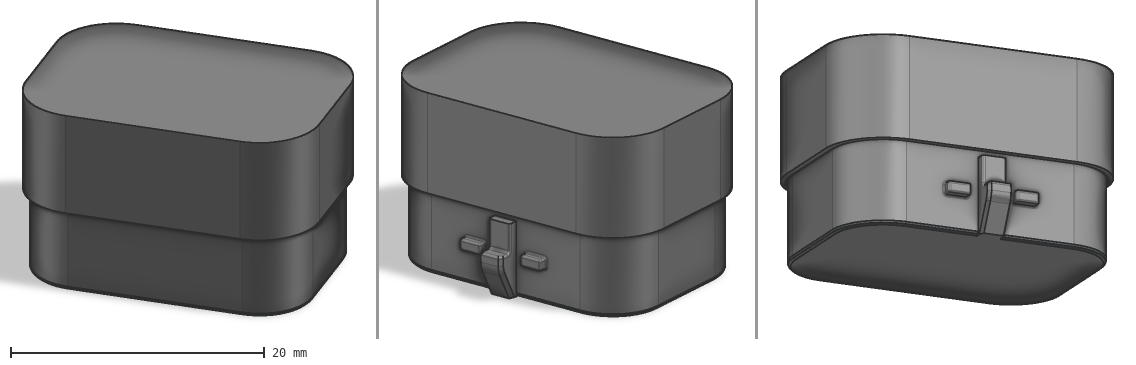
import cadquery as cq
import math

CAP_LENGTH = 24.4
CAP_WIDTH = 17.42
TOTAL_HEIGHT = 15.5
CAP_HEIGHT = 8.52
CAP_CORNER = 4.95

STEP = 0.54
BODY_LENGTH = CAP_LENGTH - 2 * STEP
BODY_WIDTH = CAP_WIDTH - 2 * STEP
BODY_HEIGHT = TOTAL_HEIGHT - CAP_HEIGHT
BODY_CORNER = CAP_CORNER - STEP

UPPER_FACET_HEIGHT = 0.17
UPPER_FACET_INSET = 0.07
LOWER_FACET_HEIGHT = 0.15
LOWER_FACET_INSET = 0.17
BEVEL_HEIGHT = UPPER_FACET_HEIGHT + LOWER_FACET_HEIGHT

CAP_FACE = CAP_WIDTH / 2
BODY_FACE = BODY_WIDTH / 2
EMBED = 0.5

LATCH_WIDTH = 2.07
LATCH_ROUND = 0.22
PLATE_TOP = 6.4
PLATE_FACE = CAP_FACE + 0.32
HOOK_TIP = CAP_FACE + 1.59
HOOK_TOP = 3.98
HOOK_TOP_DIP = 0.07
HOOK_CORNER_Z = 2.7
HOOK_FOOT = CAP_FACE + 0.15
HOOK_NOSE_RADIUS = 1.85
HOOK_SIDE_BEVEL = 0.2
HOOK_FRONT_BEVEL = 0.41
ROOT_ROUND = 0.25

BLOCK_WIDTH = 2.0
BLOCK_OFFSET = 2.95
BLOCK_BOTTOM = 3.0
BLOCK_HEIGHT = 0.98
BLOCK_FACE = CAP_FACE + 0.22
BLOCK_ROUND = 0.2
BLOCK_FOOT_ROUND = 0.17


def rounded_rectangle(length, width, corner):
    return cq.Sketch().rect(length, width).vertices().fillet(corner)


def nearest(x, y, z):
    return cq.selectors.NearestToPointSelector((x, y, z))


def make_cap():
    outline = rounded_rectangle(CAP_LENGTH, CAP_WIDTH, CAP_CORNER)
    return cq.Workplane("XY").workplane(offset=BODY_HEIGHT).placeSketch(outline).extrude(CAP_HEIGHT)


def make_facet(top_z, height, inset, start_inset):
    """Thin slab below top_z whose wall leans inwards by inset over its height."""
    outline = rounded_rectangle(
        BODY_LENGTH - 2 * start_inset, BODY_WIDTH - 2 * start_inset, BODY_CORNER - start_inset
    )
    taper = math.degrees(math.atan2(inset, height))
    return cq.Workplane("XY").workplane(offset=top_z).placeSketch(outline).extrude(-height, taper=taper)


def make_body():
    outline = rounded_rectangle(BODY_LENGTH, BODY_WIDTH, BODY_CORNER)
    wall = cq.Workplane("XY").workplane(offset=BEVEL_HEIGHT).placeSketch(outline)
    wall = wall.extrude(BODY_HEIGHT - BEVEL_HEIGHT)
    upper = make_facet(BEVEL_HEIGHT, UPPER_FACET_HEIGHT, UPPER_FACET_INSET, 0)
    lower = make_facet(LOWER_FACET_HEIGHT, LOWER_FACET_HEIGHT, LOWER_FACET_INSET, UPPER_FACET_INSET)
    return wall.union(upper).union(lower)


def add_block(body, center_x):
    depth = BLOCK_FACE - BODY_FACE + EMBED
    block = (
        cq.Workplane("XY")
        .box(BLOCK_WIDTH, depth, BLOCK_HEIGHT, centered=(True, False, False))
        .translate((center_x, BODY_FACE - EMBED, BLOCK_BOTTOM))
        .edges("|Y or >Y")
        .fillet(BLOCK_ROUND)
    )
    margin = 0.02
    reach = BLOCK_WIDTH / 2 + margin
    foot = cq.selectors.BoxSelector(
        (center_x - reach, BODY_FACE - margin, BLOCK_BOTTOM - margin),
        (center_x + reach, BODY_FACE + margin, BLOCK_BOTTOM + BLOCK_HEIGHT + margin),
    )
    return body.union(block).edges(foot).fillet(BLOCK_FOOT_ROUND)


def make_latch():
    inner = BODY_FACE - EMBED
    root_z = HOOK_TOP - HOOK_TOP_DIP
    half_width = LATCH_WIDTH / 2
    outline = [
        (inner, 0),
        (HOOK_FOOT, 0),
        (HOOK_TIP, HOOK_CORNER_Z),
        (HOOK_TIP, HOOK_TOP),
        (PLATE_FACE, root_z),
        (PLATE_FACE, PLATE_TOP),
        (inner, PLATE_TOP),
    ]
    latch = cq.Workplane("YZ").polyline(outline).close().extrude(half_width, both=True)
    latch = latch.edges(nearest(0, HOOK_TIP, HOOK_CORNER_Z)).fillet(HOOK_NOSE_RADIUS)

    for side_x in (-half_width, half_width):
        slope_edge = latch.edges(nearest(side_x, (HOOK_FOOT + HOOK_TIP) / 2, HOOK_CORNER_Z / 2))
        latch = slope_edge.chamfer(HOOK_SIDE_BEVEL, HOOK_FRONT_BEVEL)

    latch = latch.edges(nearest(0, PLATE_FACE, root_z)).fillet(ROOT_ROUND)

    bevel_x = half_width - HOOK_SIDE_BEVEL / 2
    bevel_y = HOOK_TIP - HOOK_FRONT_BEVEL / 2
    run = latch.edges(nearest(0, HOOK_TIP, HOOK_TOP))
    for side in (-1, 1):
        run = run.add(latch.edges(nearest(side * bevel_x, bevel_y, HOOK_TOP)))
        run = run.add(latch.edges(nearest(side * half_width, PLATE_FACE, (HOOK_TOP + PLATE_TOP) / 2)))
    return run.fillet(LATCH_ROUND)


lower_body = make_body()
for offset in (-BLOCK_OFFSET, BLOCK_OFFSET):
    lower_body = add_block(lower_body, offset)

result = lower_body.union(make_cap()).union(make_latch())